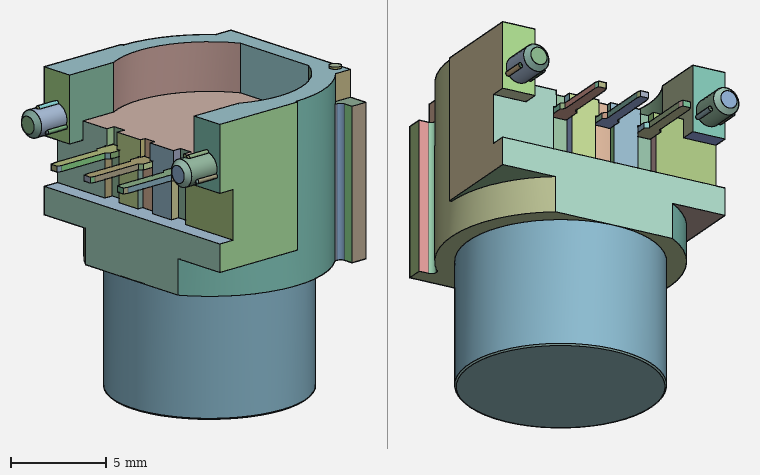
import cadquery as cq
import math


total_height = 17.42
barrel_length = 7.15
block_bottom = 9.15
ledge_top = 10.71
terminal_bottom = 13.24
arm_bottom = 13.5
pocket_floor = 14.56
rail_top = 15.77
body_top = 17.3

barrel_radius = 5.55
barrel_chamfer = 0.09
body_radius = 6.6
block_width = 13.47
mount_y = -5.57
back_y = 5.84
back_width = 9.16

rail_width = 11.53
rail_front_y = 4.83
neck_width = 9.82
neck_front_y = 4.18
neck_fillet = 0.28

pocket_radius = 5.35
pocket_back_y = 4.67
pocket_mouth_width = 9.55
step_y = -4.62

terminal_pitch = 2.55
terminal_thickness = 0.33
terminal_head_width = 1.01
terminal_pin_width = 0.61
terminal_tip_width = 0.47
terminal_shoulder_y = -5.2
terminal_neck_y = -5.4
terminal_taper_y = -8.52
terminal_tip_y = -8.78
terminal_root_y = -3.48
lower_slot_width = 1.1
lower_slot_top = 13.6
outer_slot_width = 0.78
outer_slot_depth = 0.52
middle_slot_width = 0.71
core_radius = 4.3

peg_spacing = 11.5
peg_z = 14.77
peg_radius = 0.77
peg_length = 2.09
peg_tip_taper = 0.28
rib_radius = 0.14
rib_length = 1.45
rib_end_chamfer = 0.09
rib_angles = (90, 210, 330)

dot_x = 3.8
dot_y = 5.47
dot_radius = 0.33


def box(width, y_front, y_rear, z_low, z_high, x=0):
    """Block centred on x, between two Y planes and two Z planes."""
    center = (x, (y_front + y_rear) / 2, (z_low + z_high) / 2)
    return cq.Workplane("XY").box(width, y_rear - y_front, z_high - z_low).translate(center)


def cylinder(radius, z_low, z_high):
    """Round bar on the barrel axis between two heights."""
    return cq.Workplane("XY").workplane(offset=z_low).circle(radius).extrude(z_high - z_low)


def make_barrel():
    return cylinder(barrel_radius, 0, barrel_length).faces("<Z").edges().chamfer(barrel_chamfer)


def make_body():
    flats = box(block_width, mount_y, back_y, barrel_length, body_top)
    body = cylinder(body_radius, barrel_length, body_top).intersect(flats)
    body = body.union(box(block_width, mount_y, 0, block_bottom, body_top))
    return body.union(box(back_width, 0, back_y, barrel_length, body_top))


def make_rails():
    neck = box(neck_width, neck_front_y, back_y, barrel_length, rail_top)
    rails = neck.union(box(rail_width, rail_front_y, back_y, barrel_length, rail_top))
    x_near = neck_width / 2
    inner_corners = cq.selectors.BoxSelector(
        (-x_near - neck_fillet, rail_front_y - neck_fillet, barrel_length),
        (x_near + neck_fillet, rail_front_y + neck_fillet, rail_top),
    )
    return rails.edges("|Z").edges(inner_corners).fillet(neck_fillet)


def make_pocket():
    round_part = cylinder(pocket_radius, pocket_floor, body_top)
    limits = box(2 * pocket_radius, -pocket_radius, pocket_back_y, pocket_floor, body_top)
    mouth = box(pocket_mouth_width, mount_y, 0, pocket_floor, body_top)
    return round_part.intersect(limits).union(mouth)


def make_step():
    """Recess across the mounting side, rising between the two arms."""
    step = box(block_width, mount_y, step_y, ledge_top, arm_bottom)
    return step.union(box(pocket_mouth_width, mount_y, step_y, ledge_top, pocket_floor))


def make_slot(x, upper_width, rear_y):
    lower = box(lower_slot_width, step_y, rear_y, ledge_top, lower_slot_top, x)
    return lower.union(box(upper_width, step_y, rear_y, ledge_top, pocket_floor, x))


def make_terminal(x):
    half_outline = [
        (terminal_head_width / 2, terminal_root_y),
        (terminal_head_width / 2, terminal_shoulder_y),
        (terminal_pin_width / 2, terminal_neck_y),
        (terminal_pin_width / 2, terminal_taper_y),
        (terminal_tip_width / 2, terminal_tip_y),
    ]
    mirrored = [(-px, py) for px, py in reversed(half_outline)]
    outline = cq.Workplane("XY").workplane(offset=terminal_bottom).polyline(half_outline + mirrored)
    return outline.close().extrude(terminal_thickness).translate((x, 0, 0))


def make_peg(x):
    """Round peg with a tapered tip and three crush ribs, pointing to -Y."""
    face = cq.Workplane("XZ", origin=(x, mount_y, peg_z))
    peg = face.circle(peg_radius).extrude(peg_length).faces("<Y").edges().chamfer(peg_tip_taper)
    for angle in rib_angles:
        across = peg_radius * math.cos(math.radians(angle))
        up = peg_radius * math.sin(math.radians(angle))
        rib = face.center(across, up).circle(rib_radius).extrude(rib_length)
        peg = peg.union(rib.faces("<Y").edges().chamfer(rib_end_chamfer))
    return peg


connector = make_barrel().union(make_body()).union(make_rails())
connector = connector.cut(make_pocket()).cut(make_step())

outer_rear_y = step_y + outer_slot_depth
for x in (-terminal_pitch, terminal_pitch):
    connector = connector.cut(make_slot(x, outer_slot_width, outer_rear_y))
core = cylinder(core_radius, ledge_top, pocket_floor)
connector = connector.cut(make_slot(0, middle_slot_width, outer_rear_y).cut(core))

for x in (-terminal_pitch, 0, terminal_pitch):
    connector = connector.union(make_terminal(x))

for x in (-peg_spacing / 2, peg_spacing / 2):
    connector = connector.union(make_peg(x))

dot = cylinder(dot_radius, body_top, total_height).translate((dot_x, dot_y, 0))
result = connector.union(dot)